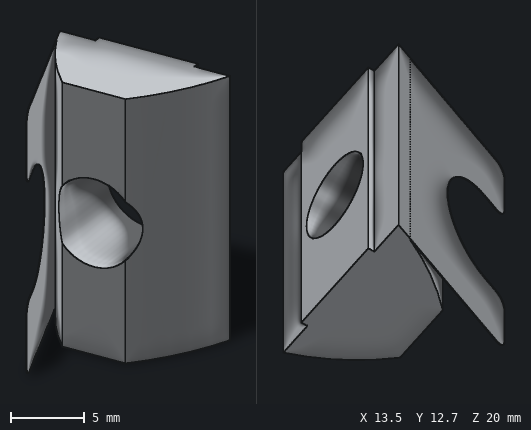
import cadquery as cq
import math

length = 20.0
back_width = 13.5
front_width = 5.0
body_depth = 6.72
flank_radius = 20.0
rail_width = 7.85
rail_height = 0.5
hole_diameter = 6.65

leaf_thickness = 0.05
leaf_reach = 12.15
leaf_corner_radius = 1.0
notch_radius = 4.5
notch_reach = 5.65

flank_run = (back_width - front_width) / 2
flank_chord = math.hypot(flank_run, body_depth)
chord_angle = math.atan2(flank_run, body_depth)
half_arc_angle = math.asin(flank_chord / 2 / flank_radius)
leaf_angle = chord_angle - half_arc_angle
flank_sag = flank_radius * (1 - math.cos(half_arc_angle))


def make_body():
    """Extrude the section with its back rail and drill the cross hole along Y."""
    flank_middle_x = (back_width + front_width) / 4 + flank_sag * math.cos(chord_angle)
    flank_middle_y = -body_depth / 2 - flank_sag * math.sin(chord_angle)
    body = (
        cq.Workplane("XY", origin=(0, 0, -length / 2))
        .moveTo(-back_width / 2, 0)
        .lineTo(-rail_width / 2, 0)
        .lineTo(-rail_width / 2, rail_height)
        .lineTo(rail_width / 2, rail_height)
        .lineTo(rail_width / 2, 0)
        .lineTo(back_width / 2, 0)
        .threePointArc((flank_middle_x, flank_middle_y), (front_width / 2, -body_depth))
        .lineTo(-front_width / 2, -body_depth)
        .threePointArc((-flank_middle_x, flank_middle_y), (-back_width / 2, 0))
        .close()
        .extrude(length)
    )
    hole = (
        cq.Workplane("XZ", origin=(0, rail_height, 0))
        .circle(hole_diameter / 2)
        .extrude(rail_height + body_depth)
    )
    return body.cut(hole)


def make_leaf():
    """Build the leaf on its outer face: local x runs to the tip, local y along -Z."""
    leaf_length = leaf_reach / math.cos(leaf_angle)
    notch_center = notch_reach / math.cos(leaf_angle) + notch_radius
    to_tip = (math.sin(leaf_angle), -math.cos(leaf_angle), 0)
    inward = (math.cos(leaf_angle), math.sin(leaf_angle), 0)
    outer_face = cq.Plane(origin=(-back_width / 2, 0, 0), xDir=to_tip, normal=inward)
    plate = (
        cq.Workplane(outer_face)
        .rect(leaf_length, length, centered=(False, True))
        .extrude(leaf_thickness)
    )
    notch = (
        cq.Workplane(outer_face)
        .moveTo(leaf_length, -notch_radius)
        .lineTo(notch_center, -notch_radius)
        .threePointArc((notch_center - notch_radius, 0), (notch_center, notch_radius))
        .lineTo(leaf_length, notch_radius)
        .close()
        .extrude(leaf_thickness)
    )
    above_ledge = cq.Workplane("XY").box(
        2 * back_width, rail_height, length, centered=(True, False, True)
    )
    tip_corners = cq.selectors.BoxSelector(
        outer_face.toWorldCoords((leaf_length - leaf_corner_radius, -length, -leaf_corner_radius)),
        outer_face.toWorldCoords((leaf_length + leaf_corner_radius, length, leaf_corner_radius)),
    )
    leaf = plate.cut(notch)
    leaf = leaf.edges(cq.selectors.ParallelDirSelector(cq.Vector(inward)) & tip_corners)
    return leaf.fillet(leaf_corner_radius).cut(above_ledge)


result = make_body().union(make_leaf())